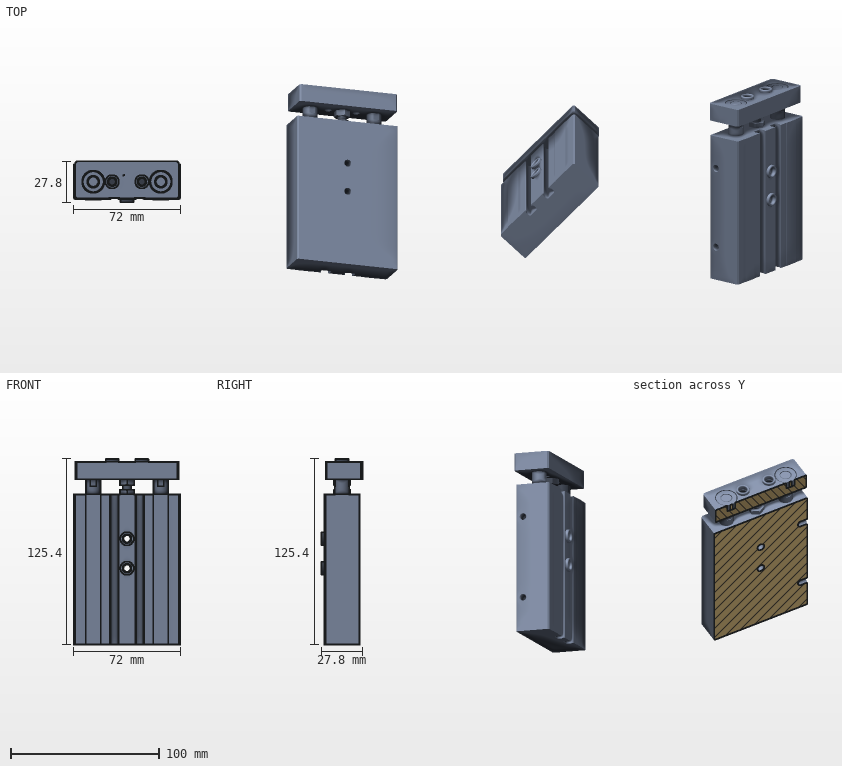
import cadquery as cq
import math


housing_width = 72.0
housing_height = 101.5
housing_front = -11.9
housing_back = 11.9
housing_front_chamfer = 1.0
housing_back_rounding = 1.1

pad_width = 10.0
pad_rise = 0.3

groove_offset = 8.5
groove_mouth = 4.9
groove_lip_chamfer = 0.5
groove_channel_radius = 3.8
groove_lip = 0.6
groove_depth = 5.1

side_hole_dia = 4.1
side_hole_mouth_dia = 4.9
side_hole_depth = 6.3
side_hole_y = 6.9
side_hole_heights = (23.1, 78.9)
drill_tip_angle = 118.0

plate_width = 70.0
plate_front = -11.2
plate_back = 13.9
plate_thickness = 11.9
plate_gap = 10.0
plate_front_chamfer = 1.0
plate_back_chamfer = 1.3
plate_bottom = housing_height + plate_gap
plate_top = plate_bottom + plate_thickness

rod_offset = 22.8
rod_dia = 10.0
rod_socket_depth = 20.1
rod_flat_width = 4.0
rod_flat_height = 4.6
rod_head_dia = 14.0
rod_head_height = 5.0
rod_head_drop = 0.3
rod_pocket_dia = 15.0
rod_ring_dia = 8.0
rod_ring_depth = 0.6

bolt_dia = 6.0
hex_flats = 9.8
hex_chamfer_angle = 30.0
nut_height = 4.0
bolt_head_height = 3.3

sleeve_dia = 9.0
sleeve_bore = 6.0
sleeve_length = 3.0
sleeve_rise = 2.0
sleeve_hole_dia = 4.9
top_sleeve_offset = 10.0
front_sleeve_heights = (51.5, 71.5)

sleeve_seat_depth = sleeve_length - sleeve_rise


def cylinder(dia, bottom, top, x=0.0):
    """Upright cylinder on the plane Y = 0."""
    return cq.Workplane("XY").workplane(offset=bottom).center(x, 0).circle(dia / 2).extrude(top - bottom)


def box(x_range, y_range, z_range):
    """Box between two limits along each axis."""
    sizes = [high - low for low, high in (x_range, y_range, z_range)]
    lows = (x_range[0], y_range[0], z_range[0])
    return cq.Workplane("XY").box(*sizes, centered=False).translate(lows)


def put_on_top(part, side):
    """Moves a part standing on the XY plane onto the plate top, left (-1) or right (1)."""
    return part.translate((side * top_sleeve_offset, 0, plate_top))


def put_on_front(part, z):
    """Turns a part standing on the XY plane toward -Y and moves it onto the housing front."""
    return part.rotate((0, 0, 0), (1, 0, 0), 90).translate((0, housing_front, z))


def sleeve_hole_cutter(length):
    """Sleeve seat sunk below Z = 0, narrowing through a 45-degree cone to a hole of the given length."""
    seat_radius = sleeve_dia / 2
    bore_radius = sleeve_bore / 2
    hole_radius = sleeve_hole_dia / 2
    cone_end = sleeve_seat_depth + bore_radius - hole_radius
    profile = [
        (0, 0),
        (seat_radius, 0),
        (seat_radius, -sleeve_seat_depth),
        (bore_radius, -sleeve_seat_depth),
        (hole_radius, -cone_end),
        (hole_radius, -length),
        (0, -length),
    ]
    return cq.Workplane("XZ").polyline(profile).close().revolve(360, (0, 0, 0), (0, 1, 0))


def groove_cutter(x):
    """Full-height sensor groove centred on x."""
    mouth_half = groove_mouth / 2
    center_depth = (groove_lip + groove_depth) / 2
    side_half = math.sqrt(groove_channel_radius**2 - (groove_depth - center_depth) ** 2)
    lip_half = mouth_half + groove_lip_chamfer
    y_lip = housing_front + groove_lip
    y_mid = housing_front + center_depth
    y_back = housing_front + groove_depth
    y_chamfer = housing_front + groove_lip_chamfer
    return (
        cq.Workplane("XY")
        .moveTo(x - lip_half, housing_front)
        .lineTo(x - mouth_half, y_chamfer)
        .lineTo(x - mouth_half, y_lip)
        .lineTo(x - side_half, y_lip)
        .threePointArc((x - groove_channel_radius, y_mid), (x - side_half, y_back))
        .lineTo(x + side_half, y_back)
        .threePointArc((x + groove_channel_radius, y_mid), (x + side_half, y_lip))
        .lineTo(x + mouth_half, y_lip)
        .lineTo(x + mouth_half, y_chamfer)
        .lineTo(x + lip_half, housing_front)
        .close()
        .extrude(housing_height)
    )


def side_hole_cutter(z):
    """Blind hole from the left side face with a chamfered mouth and a drill-point end."""
    radius = side_hole_dia / 2
    mouth_radius = side_hole_mouth_dia / 2
    tip = radius / math.tan(math.radians(drill_tip_angle / 2))
    profile = [
        (0, 0),
        (0, mouth_radius),
        (mouth_radius - radius, radius),
        (side_hole_depth, radius),
        (side_hole_depth + tip, 0),
    ]
    cutter = cq.Workplane("XY").polyline(profile).close().revolve(360, (0, 0, 0), (1, 0, 0))
    return cutter.translate((-housing_width / 2, side_hole_y, z))


def make_housing():
    x_half = housing_width / 2
    body = box((-x_half, x_half), (housing_front, housing_back), (0, housing_height))
    body = body.edges("|Z and <Y").chamfer(housing_front_chamfer)
    body = body.edges("|Z and >Y").fillet(housing_back_rounding)
    for side in (-1, 1):
        x = side * rod_offset
        pad_x = (x - pad_width / 2, x + pad_width / 2)
        body = body.union(box(pad_x, (housing_front - pad_rise, housing_front), (0, housing_height)))
        body = body.cut(groove_cutter(side * groove_offset))
        body = body.cut(cylinder(rod_dia, housing_height - rod_socket_depth, housing_height, x))
    for z in side_hole_heights:
        body = body.cut(side_hole_cutter(z))
    for z in front_sleeve_heights:
        body = body.cut(put_on_front(sleeve_hole_cutter(housing_back - housing_front), z))
    return body


def make_hex(bottom, height, chamfer_face):
    """Hexagonal prism with corners along Y, its corners turned down at one end."""
    corner_dia = hex_flats / math.cos(math.pi / 6)
    prism = (
        cq.Workplane("XY")
        .workplane(offset=bottom)
        .polygon(6, corner_dia)
        .extrude(height)
        .rotate((0, 0, 0), (0, 0, 1), 30)
    )
    radial_cut = (corner_dia - hex_flats) / 2
    axial_cut = radial_cut * math.tan(math.radians(hex_chamfer_angle))
    turned = cylinder(corner_dia, bottom, bottom + height)
    turned = turned.faces(chamfer_face).edges().chamfer(axial_cut, radial_cut)
    return prism.intersect(turned)


def make_plate():
    """Tool plate in one piece with the stopper bolt below it."""
    x_half = plate_width / 2
    pocket_floor = plate_top - rod_head_drop - rod_head_height
    plate = box((-x_half, x_half), (plate_front, plate_back), (plate_bottom, plate_top))
    plate = plate.edges("|Z and <Y").chamfer(plate_front_chamfer)
    plate = plate.edges("|Z and >Y").chamfer(plate_back_chamfer)
    for side in (-1, 1):
        x = side * rod_offset
        plate = plate.cut(cylinder(rod_dia, plate_bottom, plate_top, x))
        plate = plate.cut(cylinder(rod_pocket_dia, pocket_floor, plate_top, x))
        plate = plate.cut(put_on_top(sleeve_hole_cutter(plate_thickness), side))
    plate = plate.union(cylinder(bolt_dia, housing_height, plate_bottom))
    plate = plate.union(make_hex(plate_bottom - nut_height, nut_height, "<Z"))
    return plate.union(make_hex(housing_height, bolt_head_height, ">Z"))


def ring_groove_cutter(x, top):
    """V-shaped ring groove in a rod head, with an upright outer wall and a 45-degree inner wall."""
    outer_radius = rod_ring_dia / 2
    profile = [(outer_radius - rod_ring_depth, 0), (outer_radius, 0), (outer_radius, -rod_ring_depth)]
    ring = cq.Workplane("XZ").polyline(profile).close().revolve(360, (0, 0, 0), (0, 1, 0))
    return ring.translate((x, 0, top))


def make_rod(x):
    """Guide rod with wrench flats under the plate and a head sunk into the plate."""
    head_top = plate_top - rod_head_drop
    rod = cylinder(rod_dia, housing_height - rod_socket_depth, head_top, x)
    rod = rod.union(cylinder(rod_head_dia, head_top - rod_head_height, head_top, x))
    rod = rod.cut(ring_groove_cutter(x, head_top))
    flat_y = math.sqrt((rod_dia / 2) ** 2 - (rod_flat_width / 2) ** 2)
    flat_x = (x - rod_dia / 2, x + rod_dia / 2)
    flat_z = (plate_bottom - rod_flat_height, plate_bottom)
    for y_range in ((-rod_dia, -flat_y), (flat_y, rod_dia)):
        rod = rod.cut(box(flat_x, y_range, flat_z))
    return rod


def make_sleeve():
    """Sleeve standing along +Z with its fully rounded end above Z = 0."""
    outer_radius = sleeve_dia / 2
    bore_radius = sleeve_bore / 2
    rounding = (outer_radius - bore_radius) / 2
    return (
        cq.Workplane("XZ")
        .moveTo(bore_radius, 0)
        .lineTo(outer_radius, 0)
        .lineTo(outer_radius, sleeve_length - rounding)
        .threePointArc((bore_radius + rounding, sleeve_length), (bore_radius, sleeve_length - rounding))
        .close()
        .revolve(360, (0, 0, 0), (0, 1, 0))
        .translate((0, 0, -sleeve_seat_depth))
    )


housing = make_housing()
plate = make_plate()
rods = [make_rod(side * rod_offset) for side in (-1, 1)]
top_sleeves = [put_on_top(make_sleeve(), side) for side in (-1, 1)]
front_sleeves = [put_on_front(make_sleeve(), z) for z in front_sleeve_heights]

rods_and_sleeves = rods + top_sleeves + front_sleeves
result = cq.Compound.makeCompound([housing.val(), plate.val(), *[part.val() for part in rods_and_sleeves]])